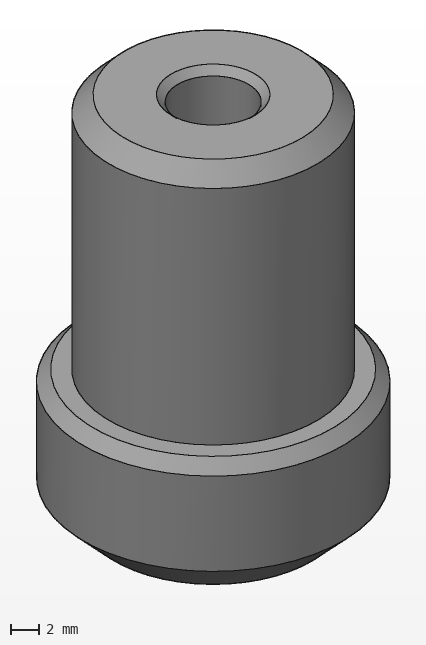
import cadquery as cq

total_height = 35.0
head_diameter = 25.0
head_height = 12.0
shaft_diameter = 20.0
bore_diameter = 6.8

head_bottom_chamfer = 3.0
head_top_chamfer = 1.0
shaft_top_chamfer = 1.5
bore_mouth_diameter = 8.0
bore_chamfer = (bore_mouth_diameter - bore_diameter) / 2


def make_head():
    """Wide collar at the base, chamfered on both rims."""
    head = cq.Workplane("XY").circle(head_diameter / 2).extrude(head_height)
    head = head.faces("<Z").chamfer(head_bottom_chamfer)
    return head.faces(">Z").chamfer(head_top_chamfer)


def make_shaft():
    """Cylinder standing on the collar, chamfered at the top."""
    shaft_length = total_height - head_height
    shaft = cq.Workplane("XY").workplane(offset=head_height)
    shaft = shaft.circle(shaft_diameter / 2).extrude(shaft_length)
    return shaft.faces(">Z").chamfer(shaft_top_chamfer)


def cut_bore(body):
    """Through bore along the axis with a chamfered upper mouth."""
    body = body.faces(">Z").workplane().hole(bore_diameter)
    return body.faces(">Z").edges(cq.selectors.RadiusNthSelector(0)).chamfer(bore_chamfer)


result = cut_bore(make_head().union(make_shaft()))